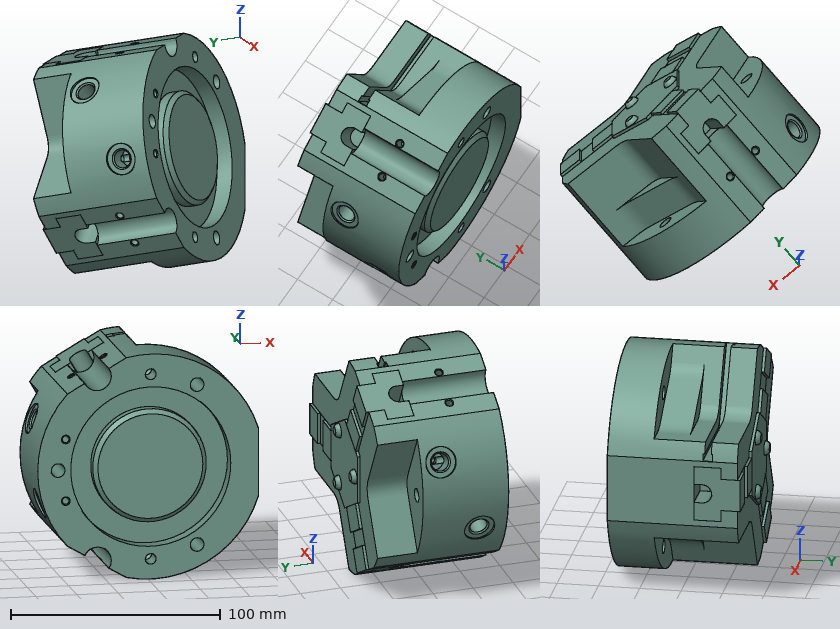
import cadquery as cq
import math

JAW_ANGLES = (0, 120, 240)
NOTCH_SPREAD = 60

body_radius = 54.9
body_depth = 62.9
flat_distance = 52.4
plate_depth = 64.4

recess_radius = 38.9
recess_depth = 8.1
piston_radius = 27.6
piston_setback = 1.0
piston_chamfer = 2.1

jaw_inner = 20.4
stem_width = 15.8
head_width = 27.0
head_front = 42.0
head_rear = 55.1
groove_inner = 32.6
groove_outer = 40.6
pocket_width = 9.2
pocket_y = 45.9
pocket_length = 16.5

plate_side_jaw = jaw_inner
plate_side_notch = 19.9
screw_circle = 15.8
screw_radius = 3.6
screw_dome_radius = 3.2
screw_top_radius = 2.0
screw_height = 2.3

lobe_half_width = 25.0
notch_fillet = 10.0
side_notch_angle = 180
side_notch_floor = 43.0
stepped_notch_angles = (60, 300)
stepped_notch_floor = 22.1
ledge_y = 38.0
ledge_distance = 39.4
ledge_fillet = 15.0

sensor_angle = 60
sensor_y = 48.5
sensor_mouth_width = 3.2
sensor_inner_width = 4.6
sensor_floor = 16.7
sensor_lip = 19.8

channel_angles = (120, 240)
channel_half_width = 6.7
channel_wall = 1.5
channel_depth = 7.3
tapped_diameter = 3.3
tapped_mouth_diameter = 4.2
flat_hole_offset = 9.0
flat_hole_y = 23.0
flat_hole_depth = 8.8

bolt_circle = 45.0
bolt_diameter = 6.6
dowel_angles = (90, 270)
dowel_diameter = 5.2
dowel_depth = 11.0

port_places = ((160, 32.8), (200, 13.5))
port_face_diameter = 15.0
port_face_depth = 1.2
port_diameter = 8.6
port_mouth_diameter = 10.0
port_floor = 44.2
port_duct_diameter = 2.9
port_duct_end = 39.5
air_hole_circle = 43.9

FAR = 2 * body_radius


def turned(shape, angle):
    """Turn a shape about the Y axis, from +X towards +Z."""
    return shape.rotate((0, 0, 0), (0, -1, 0), angle)


def plane_at(y):
    """Workplane at distance y from the front face, with local x along X and local y along Z."""
    return cq.Workplane("XZ", origin=(0, y, 0))


def prism(points, y_start, y_end):
    return plane_at(y_start).polyline(points).close().extrude(y_start - y_end)


def disc(radius, y_start, y_end, distance=0.0):
    return plane_at(y_start).center(distance, 0).circle(radius).extrude(y_start - y_end)


def bar(x_start, x_end, y_start, y_end, width):
    """Box from x_start to x_end whose width is centred on z = 0."""
    size = (x_end - x_start, y_end - y_start, width)
    return cq.Workplane("XY").box(*size, centered=(False, False, True)).translate((x_start, y_start, 0))


def radial_rod(diameter, x_start, x_end, y, z=0.0):
    return cq.Workplane("YZ", origin=(x_start, y, z)).circle(diameter / 2).extrude(x_end - x_start)


def bevel(mouth_diameter, hole_diameter, origin, direction):
    """45 degree conical countersink whose mouth is at origin."""
    depth = (mouth_diameter - hole_diameter) / 2
    cone = cq.Solid.makeCone(
        mouth_diameter / 2, hole_diameter / 2, depth, cq.Vector(*origin), cq.Vector(*direction)
    )
    return cq.Workplane(cone)


def drill_tip(diameter, origin, direction):
    """45 degree conical end of a blind hole."""
    radius = diameter / 2
    return cq.Workplane(cq.Solid.makeCone(radius, 0, radius, cq.Vector(*origin), cq.Vector(*direction)))


def wedge(offset, y_start, y_end):
    """Notch about +X whose two walls run parallel to, and at this offset from, the lobe centrelines."""
    spread = math.radians(NOTCH_SPREAD)
    apex = offset / math.sin(spread)
    tip_x = apex + FAR * math.cos(spread)
    tip_z = FAR * math.sin(spread)
    return prism([(apex, 0), (tip_x, tip_z), (tip_x, -tip_z)], y_start, y_end)


def t_profile(inner, outer):
    head = bar(inner, outer, head_front, head_rear, head_width)
    stem = bar(inner, outer, head_rear, plate_depth, stem_width)
    return head.union(stem)


def make_jaw():
    jaw = t_profile(jaw_inner, flat_distance)
    jaw = jaw.cut(bar(groove_inner, groove_outer, body_depth, plate_depth, stem_width))
    pocket_inner = flat_distance - pocket_length
    pocket = radial_rod(pocket_width, pocket_inner, flat_distance, pocket_y)
    pocket = pocket.union(bar(pocket_inner, flat_distance, head_front, pocket_y, pocket_width))
    return jaw.cut(pocket)


def make_body():
    body = disc(body_radius, 0, body_depth)
    for angle in JAW_ANGLES:
        beyond_flat = bar(flat_distance, FAR, 0, body_depth, FAR)
        body = body.cut(turned(beyond_flat, angle))
    body = body.cut(disc(recess_radius, 0, recess_depth))
    piston = disc(piston_radius, piston_setback, recess_depth).faces("<Y").chamfer(piston_chamfer)
    return body.union(piston)


def make_cover_plate():
    """Hexagon with three sides against the jaws and three towards the notches."""
    half_side = (plate_side_notch - plate_side_jaw * math.cos(math.pi / 3)) / math.sin(math.pi / 3)
    corner_radius = math.hypot(plate_side_jaw, half_side)
    corner_angle = math.degrees(math.atan2(half_side, plate_side_jaw))
    corners = []
    for jaw_angle in JAW_ANGLES:
        for angle in (jaw_angle - corner_angle, jaw_angle + corner_angle):
            turn = math.radians(angle)
            corners.append((corner_radius * math.cos(turn), corner_radius * math.sin(turn)))
    return prism(corners, body_depth, plate_depth)


def make_screw_head():
    """Button head, revolved about its own axis and moved out along +X."""
    top_y = plate_depth + screw_height
    dome_point = (screw_dome_radius, plate_depth + screw_height / 2)
    return (
        cq.Workplane("XY")
        .moveTo(0, plate_depth)
        .lineTo(screw_radius, plate_depth)
        .threePointArc(dome_point, (screw_top_radius, top_y))
        .lineTo(0, top_y)
        .close()
        .revolve(360, (0, 0, 0), (0, 1, 0))
        .translate((screw_circle, 0, 0))
    )


def make_side_notch():
    return wedge(lobe_half_width, side_notch_floor, body_depth).edges("|Y").edges("<X").fillet(notch_fillet)


def make_stepped_notch():
    deep = wedge(lobe_half_width, ledge_y, body_depth).edges("|Y").edges("<X").fillet(notch_fillet)
    beyond_ledge = bar(ledge_distance, FAR, stepped_notch_floor, ledge_y, 2 * FAR)
    shallow = wedge(lobe_half_width, stepped_notch_floor, ledge_y).intersect(beyond_ledge)
    return deep.union(shallow.edges("|Y").edges("<X").fillet(ledge_fillet))


def make_sensor_slot():
    mouth = wedge(sensor_floor, sensor_y - sensor_mouth_width / 2, sensor_y + sensor_mouth_width / 2)
    inner_start = sensor_y - sensor_inner_width / 2
    inner_end = sensor_y + sensor_inner_width / 2
    inner = wedge(sensor_floor, inner_start, inner_end).cut(wedge(sensor_lip, inner_start, inner_end))
    return mouth.union(inner)


def make_channel():
    """Round-bottomed channel from the front face to the T-slot."""
    straight_x = flat_distance - channel_wall
    return (
        plane_at(0)
        .moveTo(body_radius, channel_half_width)
        .lineTo(straight_x, channel_half_width)
        .threePointArc((flat_distance - channel_depth, 0), (straight_x, -channel_half_width))
        .lineTo(body_radius, -channel_half_width)
        .close()
        .extrude(-head_front)
    )


def make_flat_hole(z):
    floor_x = flat_distance - flat_hole_depth
    hole = radial_rod(tapped_diameter, floor_x, flat_distance, flat_hole_y, z)
    hole = hole.union(drill_tip(tapped_diameter, (floor_x, flat_hole_y, z), (-1, 0, 0)))
    mouth = (flat_distance, flat_hole_y, z)
    return hole.union(bevel(tapped_mouth_diameter, tapped_diameter, mouth, (-1, 0, 0)))


def make_dowel_hole():
    tip = drill_tip(dowel_diameter, (bolt_circle, dowel_depth, 0), (0, 1, 0))
    return disc(dowel_diameter / 2, 0, dowel_depth, bolt_circle).union(tip)


def make_air_port(y):
    """Spot-faced radial port, its duct, and the tapped hole that meets it from the front face."""
    face_x = body_radius - port_face_depth
    port = radial_rod(port_face_diameter, face_x, FAR, y)
    port = port.union(radial_rod(port_diameter, port_floor, face_x, y))
    port = port.union(bevel(port_mouth_diameter, port_diameter, (face_x, y, 0), (-1, 0, 0)))
    port = port.union(radial_rod(port_duct_diameter, port_duct_end, port_floor, y))
    tapped_depth = y + port_diameter / 2
    tapped = disc(tapped_diameter / 2, 0, tapped_depth, air_hole_circle)
    tapped = tapped.union(drill_tip(tapped_diameter, (air_hole_circle, tapped_depth, 0), (0, 1, 0)))
    mouth = (air_hole_circle, 0, 0)
    tapped = tapped.union(bevel(tapped_mouth_diameter, tapped_diameter, mouth, (0, 1, 0)))
    return port.union(tapped)


def make_housing():
    housing = make_body().union(make_cover_plate())

    housing = housing.cut(turned(make_side_notch(), side_notch_angle))
    for angle in stepped_notch_angles:
        housing = housing.cut(turned(make_stepped_notch(), angle))
        housing = housing.union(turned(make_screw_head(), angle))
    housing = housing.union(turned(make_screw_head(), side_notch_angle))
    housing = housing.cut(turned(make_sensor_slot(), sensor_angle))

    for angle in JAW_ANGLES:
        housing = housing.cut(turned(t_profile(jaw_inner, body_radius), angle))
    for angle in channel_angles:
        housing = housing.cut(turned(make_channel(), angle))
        for z in (-flat_hole_offset, flat_hole_offset):
            housing = housing.cut(turned(make_flat_hole(z), angle))

    for angle in (side_notch_angle, *stepped_notch_angles):
        bolt_hole = disc(bolt_diameter / 2, 0, body_depth, bolt_circle)
        housing = housing.cut(turned(bolt_hole, angle))
    for angle in dowel_angles:
        housing = housing.cut(turned(make_dowel_hole(), angle))
    for angle, y in port_places:
        housing = housing.cut(turned(make_air_port(y), angle))
    return housing


housing = make_housing()
jaws = [turned(make_jaw(), angle) for angle in JAW_ANGLES]
result = cq.Compound.makeCompound([*housing.solids().vals(), *[jaw.solids().val() for jaw in jaws]])